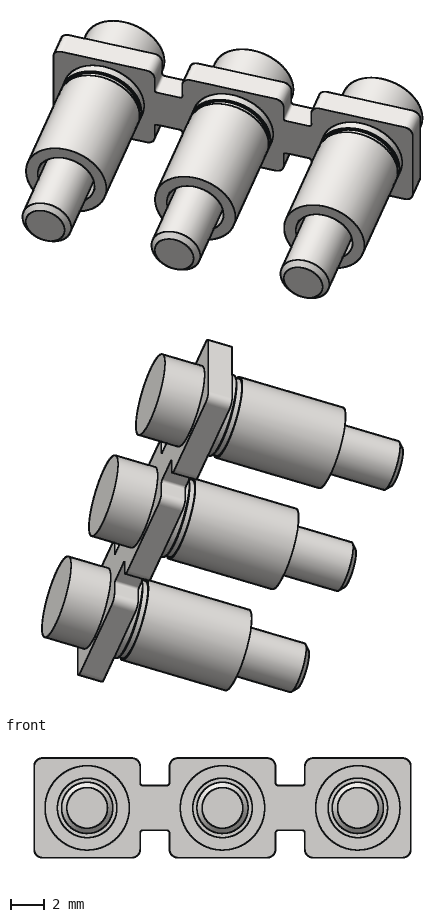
import cadquery as cq


contact_count = 3
overall_width = 22.3
pitch = 8.0
pad_width = overall_width - (contact_count - 1) * pitch
pad_height = 5.9
bridge_height = 2.65
plate_thickness = 1.5
pad_corner_radius = 0.51
bridge_corner_radius = 0.15

contact_length = 15.5
plate_rear = 2.5
plate_front = plate_rear + plate_thickness
collar_length = 0.51
collar_front = plate_front + collar_length
spigot_length = 0.055
tail_end = collar_front + spigot_length
neck_length = 0.38
neck_front = collar_front + neck_length
barrel_front = 11.4

body_radius = 2.5
neck_depth = 0.11
neck_radius = body_radius - neck_depth
bore_radius = 1.76
pin_radius = 1.52
pin_chamfer = 0.31

contact_positions = [(i - (contact_count - 1) / 2) * pitch for i in range(contact_count)]


def cylinder_along_contact(x, radius, start, end):
    """Solid cylinder on the contact axis at x, between two distances forward of the rear end."""
    return cq.Workplane("XZ", origin=(x, -start, 0)).circle(radius).extrude(end - start)


def make_plate():
    """Carrier plate with rounded pads, filleted bridges and one tail hole per pad."""
    profile = cq.Workplane("XZ", origin=(0, -plate_rear, 0))
    pads = (
        profile.pushPoints([(x, 0) for x in contact_positions])
        .rect(pad_width, pad_height)
        .extrude(plate_thickness)
        .edges("|Y")
        .fillet(pad_corner_radius)
    )
    bridge_span = contact_positions[-1] - contact_positions[0]
    bridges = profile.rect(bridge_span, bridge_height).extrude(plate_thickness)
    bridge_band = cq.selectors.BoxSelector(
        (-overall_width, -contact_length, -bridge_height),
        (overall_width, 0, bridge_height),
    )
    plate = pads.union(bridges).edges("|Y").edges(bridge_band).fillet(bridge_corner_radius)
    for x in contact_positions:
        plate = plate.cut(cylinder_along_contact(x, body_radius, plate_rear, plate_front))
    return plate


def make_tail(x):
    """Solid rear tail, passing through the plate to a collar and a short reduced spigot."""
    collar = cylinder_along_contact(x, body_radius, 0, collar_front)
    spigot = cylinder_along_contact(x, neck_radius, collar_front, tail_end)
    return collar.union(spigot)


def make_barrel(x):
    """Tubular barrel with a reduced neck that meets the spigot of the tail."""
    neck = cylinder_along_contact(x, neck_radius, tail_end, neck_front)
    tube = cylinder_along_contact(x, body_radius, neck_front, barrel_front)
    bore = cylinder_along_contact(x, bore_radius, tail_end, barrel_front)
    return neck.union(tube).cut(bore)


def make_pin(x):
    """Contact pin with a chamfered tip, standing on the tail inside the barrel bore."""
    return cylinder_along_contact(x, pin_radius, tail_end, contact_length).faces("<Y").chamfer(pin_chamfer)


plate = make_plate()
tails = [make_tail(x) for x in contact_positions]
barrels = [make_barrel(x) for x in contact_positions]
pins = [make_pin(x) for x in contact_positions]

result = cq.Compound.makeCompound([body.val() for body in [plate, *tails, *barrels, *pins]])